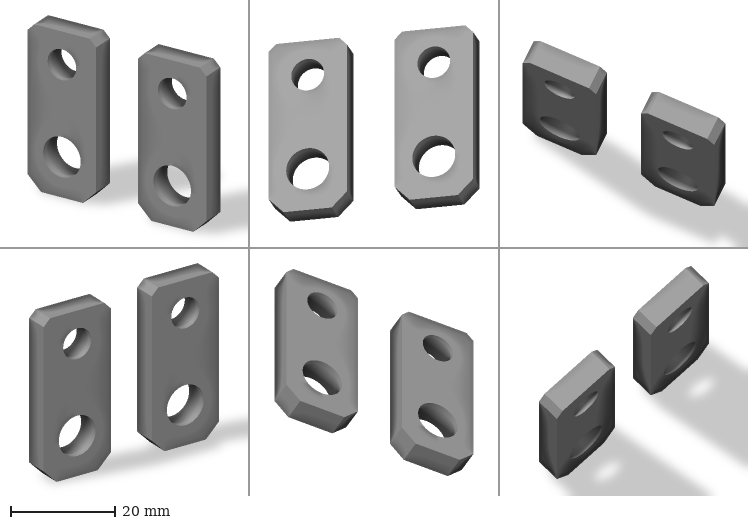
import cadquery as cq

total_width = 40.5
thickness = 5.0
height = 35.0

plate_width = 15.5
top_chamfer = 1.5
bottom_chamfer = 3.0

small_hole_diameter = 6.5
small_hole_from_top = 7.0
large_hole_diameter = 8.5
large_hole_from_bottom = 8.5

plate_pitch = total_width - plate_width
plate_centers = [-plate_pitch / 2, plate_pitch / 2]


def through_hole(diameter, center_x, center_z):
    """Cylinder along Y that spans the plate thickness."""
    return (
        cq.Workplane("XZ")
        .center(center_x, center_z)
        .circle(diameter / 2)
        .extrude(thickness / 2, both=True)
    )


def link_plate(center_x):
    """Upright plate with chamfered corners and two through holes, resting on Z = 0."""
    plate = cq.Workplane("XY").box(
        plate_width, thickness, height, centered=(True, True, False)
    )
    plate = plate.translate((center_x, 0, 0))
    plate = plate.edges("|Y and >Z").chamfer(top_chamfer)
    plate = plate.edges("|Y and <Z").chamfer(bottom_chamfer)
    plate = plate.cut(through_hole(small_hole_diameter, center_x, height - small_hole_from_top))
    plate = plate.cut(through_hole(large_hole_diameter, center_x, large_hole_from_bottom))
    return plate.solids().val()


link_plates = [link_plate(center_x) for center_x in plate_centers]

result = cq.Compound.makeCompound(link_plates)